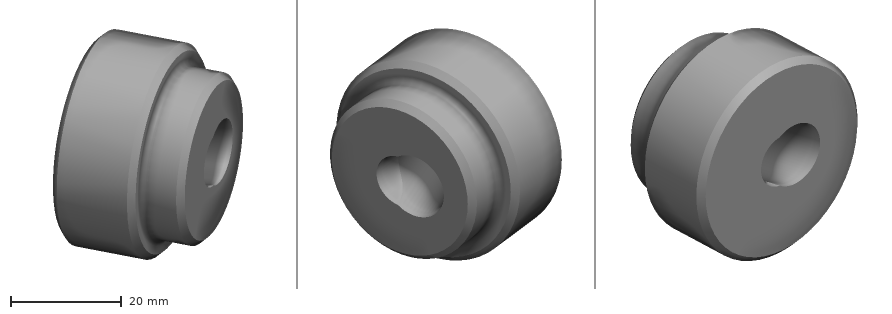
import cadquery as cq

body_diameter = 40.0
body_length = 16.0
collar_diameter = 32.0
total_length = 24.0
chamfer = 1.2
step_fillet = 1.2

bore_diameter = 10.1
tilted_diameter = 12.3
tilt_angle = 15.0
cutter_length = 2 * total_length


def cylinder_on_x(diameter, length):
    """Cylinder along +X starting at X = 0."""
    return cq.Workplane("YZ").circle(diameter / 2).extrude(length)


def make_body():
    """Large disc with a smaller collar, chamfered rims and a filleted step."""
    disc = cylinder_on_x(body_diameter, body_length).edges().chamfer(chamfer)
    collar = cylinder_on_x(collar_diameter, total_length).faces(">X").edges().chamfer(chamfer)
    step_corner = cq.selectors.BoxSelector(
        (body_length - chamfer / 2, -collar_diameter, -collar_diameter),
        (body_length + chamfer / 2, collar_diameter, collar_diameter),
    )
    body = disc.union(collar)
    return body.edges(step_corner).edges(cq.selectors.RadiusNthSelector(0)).fillet(step_fillet)


def make_hole_cutter(diameter, angle):
    """Through cutter tilted about Z, with its axis crossing the part axis at mid-length."""
    cutter = cylinder_on_x(diameter, cutter_length).translate((-cutter_length / 2, 0, 0))
    tilted = cutter.rotate((0, 0, 0), (0, 0, 1), angle)
    return tilted.translate((total_length / 2, 0, 0))


straight_bore = make_hole_cutter(bore_diameter, 0)
tilted_hole = make_hole_cutter(tilted_diameter, tilt_angle)
result = make_body().cut(straight_bore).cut(tilted_hole)